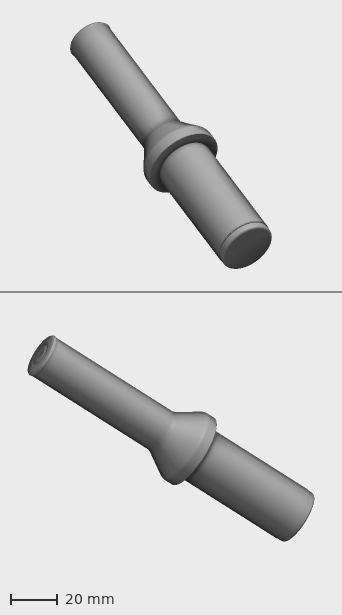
import cadquery as cq
import math

total_length = 138.0

face_center_recess = 0.3
face_rings = [(0.0, 3.3), (0.3, 4.8), (0.0, 6.2), (0.1, 8.5)]
bevel_x, bevel_radius = 0.4, 9.5
rim_x, rim_radius = 1.2, 10.1
flare_end_x = 3.0

shank_radius = 19.5 / 2
flange_radius = 34.0 / 2
cone_start_x = 65.0
cone_end_x = 77.0
cone_root_fillet = 5.0
cone_shoulder_fillet = 3.3
flange_back_x = 82.1
flange_chamfer = 0.3

undercut_radius = 11.7
spigot_radius = 24.5 / 2
body_radius = 25.0 / 2
undercut_end_x = 82.8
body_start_x = 84.2
body_end_x = 134.4

cap_thickness = 3.3
cap_radius = spigot_radius
cap_outer_fillet = 1.1
cap_inner_chamfer = 0.4
cap_start_x = total_length - cap_thickness


def revolve_about_x(profile):
    return profile.close().revolve(360, (0, 0, 0), (1, 0, 0))


def flare_midpoint():
    length = flare_end_x - rim_x
    height = rim_radius - shank_radius
    arc_radius = (length**2 + height**2) / (2 * height)
    half_length = length / 2
    rise = arc_radius - math.sqrt(arc_radius**2 - half_length**2)
    return (flare_end_x - half_length, shank_radius + rise)


def make_shaft():
    cone_angle = math.atan2(flange_radius - shank_radius, cone_end_x - cone_start_x)
    root_tangent = cone_root_fillet * math.tan(cone_angle / 2)
    shoulder_tangent = cone_shoulder_fillet * math.tan(cone_angle / 2)
    along_x = math.cos(cone_angle)
    along_radius = math.sin(cone_angle)

    profile = cq.Workplane("XY").moveTo(face_center_recess, 0)
    for x, radius in face_rings:
        profile = profile.lineTo(x, radius)
    profile = (
        profile.lineTo(bevel_x, bevel_radius)
        .lineTo(rim_x, rim_radius)
        .threePointArc(flare_midpoint(), (flare_end_x, shank_radius))
        .lineTo(cone_start_x - root_tangent, shank_radius)
        .tangentArcPoint(
            (cone_start_x + root_tangent * along_x, shank_radius + root_tangent * along_radius),
            relative=False,
        )
        .lineTo(cone_end_x - shoulder_tangent * along_x, flange_radius - shoulder_tangent * along_radius)
        .tangentArcPoint((cone_end_x + shoulder_tangent, flange_radius), relative=False)
        .lineTo(flange_back_x - flange_chamfer, flange_radius)
        .lineTo(flange_back_x, flange_radius - flange_chamfer)
        .lineTo(flange_back_x, undercut_radius)
        .lineTo(undercut_end_x, spigot_radius)
        .lineTo(body_start_x, spigot_radius)
        .lineTo(body_start_x, body_radius)
        .lineTo(body_end_x, body_radius)
        .lineTo(body_end_x, spigot_radius)
        .lineTo(cap_start_x, spigot_radius)
        .lineTo(cap_start_x, 0)
    )
    return revolve_about_x(profile)


def make_end_cap():
    cap = cq.Workplane("YZ", origin=(cap_start_x, 0, 0)).circle(cap_radius).extrude(cap_thickness)
    cap = cap.faces(">X").edges().fillet(cap_outer_fillet)
    return cap.faces("<X").edges().chamfer(cap_inner_chamfer)


shaft = make_shaft()
end_cap = make_end_cap()

result = cq.Compound.makeCompound([shaft.val(), end_cap.val()])